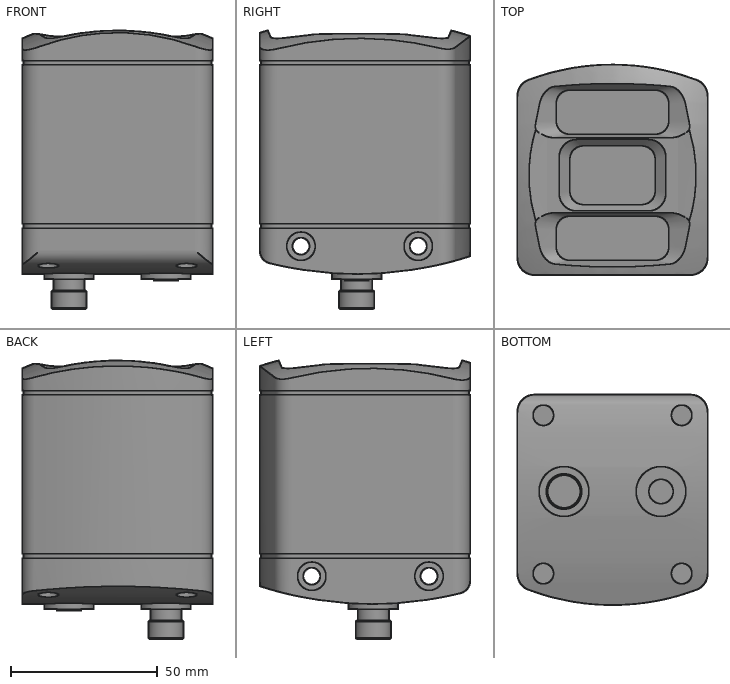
import cadquery as cq
import math


WIDTH = 65.0
FRONT_Y = -34.1
BACK_Y = 37.79
BACK_CORNER_Y = 31.0
CORNER_RADIUS = 6.0
OVERSHOOT = 1.0

TOP_Z = 83.15
TOTAL_HEIGHT = 95.2
CONNECTOR_END_Z = TOP_Z - TOTAL_HEIGHT
LOWER_GROOVE_Z = 15.7
UPPER_GROOVE_Z = 71.4
GROOVE_HEIGHT = 1.4
GROOVE_DEPTH = 0.4

DOME_RADIUS_ACROSS = 80.0
DOME_RADIUS_ALONG = 120.0
BELLY_RADIUS = 125.0
BELLY_CENTRE_Y = -0.7
FRONT_BOTTOM_FILLET = 4.5

RIM_END_Y = 31.3
DOME_APEX_Z = TOP_Z + DOME_RADIUS_ALONG - math.sqrt(DOME_RADIUS_ALONG**2 - RIM_END_Y**2)
SHELF_Z = 81.1
SHELF_HALF_X = 22.4
SHELF_HALF_Y = 12.6
SHELF_FLARE_MIDDLE_X = 35.7
SHELF_FLARE_END_X = 32.7
SHELF_FLARE_HALF_Y = 22.0

POCKET_FLOOR_Z = 77.9
POCKET_LENGTH = 38.4
POCKET_INNER_Y = 14.0
POCKET_OUTER_Y = 29.0
POCKET_RADIUS = 4.5
POCKET_FLARE_INNER_X = 29.2
POCKET_FLARE_INNER_Y = 12.1
POCKET_FLARE_OUTER_X = 30.0
POCKET_FLARE_OUTER_Y = RIM_END_Y
POCKET_FLARE_RADIUS = 6.0

WELL_FLOOR_Z = 78.0
WELL_FLOOR_SIZE = (29.1, 20.0)
WELL_FLOOR_RADIUS = 4.5
WELL_MOUTH_SIZE = (36.4, 24.4)
WELL_MOUTH_RADIUS = 6.0

CROSS_HOLE_Y = 20.0
CROSS_HOLE_Z = 9.5
CROSS_HOLE_DIAMETER = 5.7
CROSS_BORE_DIAMETER = 9.7
CROSS_BORE_DEPTH = 5.0
MOUNT_HOLE_X = 23.6
MOUNT_HOLE_Y = 27.0
MOUNT_HOLE_DIAMETER = 7.0
MOUNT_HOLE_TOP_Z = 10.0

CONNECTOR_X = 16.55
CONNECTOR_Y = -1.0
FLANGE_DIAMETER = 17.0
FLANGE_BOTTOM_Z = -1.7
NECK_DIAMETER = 10.7
NUT_DIAMETER = 12.1
NUT_TOP_Z = -5.5
NUT_CHAMFER = 0.5
PLUG_DIAMETER = 8.3
PLUG_BOTTOM_Z = -2.3
CONNECTOR_ROOT_Z = 2.0


def plan_prism(bottom_z, top_z, inset=0.0):
    """Vertical prism over the housing plan: three flat sides and a bowed back."""
    half = WIDTH / 2 - inset
    prism = (
        cq.Workplane("XY", origin=(0, 0, bottom_z))
        .moveTo(-half, FRONT_Y + inset)
        .lineTo(half, FRONT_Y + inset)
        .lineTo(half, BACK_CORNER_Y - inset)
        .threePointArc((0, BACK_Y - inset), (-half, BACK_CORNER_Y - inset))
        .close()
        .extrude(top_z - bottom_z)
    )
    return prism.edges("|Z").fillet(CORNER_RADIUS - inset)


def dome_barrel():
    """Solid of revolution about an X-parallel axis whose outer surface is the dome."""
    axis_z = DOME_APEX_Z - DOME_RADIUS_ALONG
    half = WIDTH / 2 + OVERSHOOT
    edge_z = DOME_APEX_Z - DOME_RADIUS_ACROSS + math.sqrt(DOME_RADIUS_ACROSS**2 - half**2)
    return (
        cq.Workplane("XZ")
        .moveTo(-half, axis_z)
        .lineTo(-half, edge_z)
        .threePointArc((0, DOME_APEX_Z), (half, edge_z))
        .lineTo(half, axis_z)
        .close()
        .revolve(360, (0, axis_z, 0), (1, axis_z, 0))
    )


def belly_block():
    """Block along X with the rounded underside and the rounded lower front edge."""
    def belly_z(y):
        return BELLY_RADIUS - math.sqrt(BELLY_RADIUS**2 - (y - BELLY_CENTRE_Y) ** 2)

    block = (
        cq.Workplane("YZ", origin=(-WIDTH / 2, 0, 0))
        .moveTo(FRONT_Y, DOME_APEX_Z)
        .lineTo(FRONT_Y, belly_z(FRONT_Y))
        .threePointArc((BELLY_CENTRE_Y, 0), (BACK_Y, belly_z(BACK_Y)))
        .lineTo(BACK_Y, DOME_APEX_Z)
        .close()
        .extrude(WIDTH)
    )
    return block.faces("<Y").edges("<Z").fillet(FRONT_BOTTOM_FILLET)


def groove(bottom_z):
    """Shallow ring cut all round the housing."""
    top_z = bottom_z + GROOVE_HEIGHT
    return plan_prism(bottom_z, top_z).cut(plan_prism(bottom_z, top_z, GROOVE_DEPTH))


def ruled_loft(lower, upper):
    """Solid with straight walls between two closed outlines of equally many edges."""
    return cq.Workplane(cq.Solid.makeLoft([lower.wire().val(), upper.wire().val()], True))


def rounded_outline(corners, radius, z):
    """Closed polygon at height z with every corner rounded."""
    wire = cq.Workplane("XY", origin=(0, 0, z)).polyline(corners).close().val()
    return cq.Workplane(wire.fillet2D(radius, wire.Vertices()))


def rectangle_corners(size):
    """Corners of a rectangle centred on the origin."""
    x = size[0] / 2
    y = size[1] / 2
    return [(-x, -y), (x, -y), (x, y), (-x, y)]


def shelf_recess():
    """Space above the shelf, with straight lower edges and bowed upper edges on its two sides."""
    top_x = SHELF_FLARE_END_X
    middle_x = SHELF_FLARE_MIDDLE_X
    top_y = SHELF_FLARE_HALF_Y
    shelf = rectangle_corners((2 * SHELF_HALF_X, 2 * SHELF_HALF_Y))
    lower = cq.Workplane("XY", origin=(0, 0, SHELF_Z)).polyline(shelf).close()
    upper = (
        cq.Workplane("XY", origin=(0, 0, TOP_Z))
        .moveTo(-top_x, -top_y)
        .lineTo(top_x, -top_y)
        .threePointArc((middle_x, 0), (top_x, top_y))
        .lineTo(-top_x, top_y)
        .threePointArc((-middle_x, 0), (-top_x, -top_y))
        .close()
    )
    return ruled_loft(lower, upper)


def end_pocket():
    """Flared pocket at the back end of the recess."""
    half = POCKET_LENGTH / 2
    floor = [
        (-half, POCKET_INNER_Y),
        (half, POCKET_INNER_Y),
        (half, POCKET_OUTER_Y),
        (-half, POCKET_OUTER_Y),
    ]
    mouth = [
        (-POCKET_FLARE_INNER_X, POCKET_FLARE_INNER_Y),
        (POCKET_FLARE_INNER_X, POCKET_FLARE_INNER_Y),
        (POCKET_FLARE_OUTER_X, POCKET_FLARE_OUTER_Y),
        (-POCKET_FLARE_OUTER_X, POCKET_FLARE_OUTER_Y),
    ]
    return ruled_loft(
        rounded_outline(floor, POCKET_RADIUS, POCKET_FLOOR_Z),
        rounded_outline(mouth, POCKET_FLARE_RADIUS, TOP_Z),
    )


def well():
    """Tapered pocket in the middle of the shelf."""
    return ruled_loft(
        rounded_outline(rectangle_corners(WELL_FLOOR_SIZE), WELL_FLOOR_RADIUS, WELL_FLOOR_Z),
        rounded_outline(rectangle_corners(WELL_MOUTH_SIZE), WELL_MOUTH_RADIUS, SHELF_Z),
    )


def cylinder(x, y, diameter, bottom_z, top_z):
    """Vertical cylinder between two heights."""
    return cq.Workplane("XY", origin=(x, y, bottom_z)).circle(diameter / 2).extrude(top_z - bottom_z)


def cross_hole(y):
    """Hole through the base along X, counterbored at both ends."""
    wall = cq.Workplane("YZ", origin=(-WIDTH / 2, 0, 0)).center(y, CROSS_HOLE_Z)
    bore = wall.circle(CROSS_BORE_DIAMETER / 2).extrude(CROSS_BORE_DEPTH)
    hole = wall.circle(CROSS_HOLE_DIAMETER / 2).extrude(WIDTH)
    return hole.union(bore).union(bore.mirror("YZ"))


def mount_hole(x, y):
    """Blind hole rising from the underside."""
    return cylinder(x, y, MOUNT_HOLE_DIAMETER, -OVERSHOOT, MOUNT_HOLE_TOP_Z)


def cable_connector():
    """Flanged connector with a neck and a coupling nut."""
    flange = cylinder(-CONNECTOR_X, CONNECTOR_Y, FLANGE_DIAMETER, FLANGE_BOTTOM_Z, CONNECTOR_ROOT_Z)
    neck = cylinder(-CONNECTOR_X, CONNECTOR_Y, NECK_DIAMETER, NUT_TOP_Z, CONNECTOR_ROOT_Z)
    nut = cylinder(-CONNECTOR_X, CONNECTOR_Y, NUT_DIAMETER, CONNECTOR_END_Z, NUT_TOP_Z)
    return flange.union(neck).union(nut.faces("|Z").edges().chamfer(NUT_CHAMFER))


def blanking_plug():
    """Flanged plug that closes the second connector port."""
    flange = cylinder(CONNECTOR_X, CONNECTOR_Y, FLANGE_DIAMETER, FLANGE_BOTTOM_Z, CONNECTOR_ROOT_Z)
    return flange.union(cylinder(CONNECTOR_X, CONNECTOR_Y, PLUG_DIAMETER, PLUG_BOTTOM_Z, CONNECTOR_ROOT_Z))


housing = plan_prism(0, TOP_Z).intersect(dome_barrel()).intersect(belly_block())
housing = housing.cut(groove(LOWER_GROOVE_Z)).cut(groove(UPPER_GROOVE_Z))
housing = housing.cut(shelf_recess()).cut(well())
housing = housing.cut(end_pocket()).cut(end_pocket().mirror("XZ"))

for side in (-1, 1):
    housing = housing.cut(cross_hole(side * CROSS_HOLE_Y))
    for end in (-1, 1):
        housing = housing.cut(mount_hole(side * MOUNT_HOLE_X, end * MOUNT_HOLE_Y))

result = housing.union(cable_connector()).union(blanking_plug())